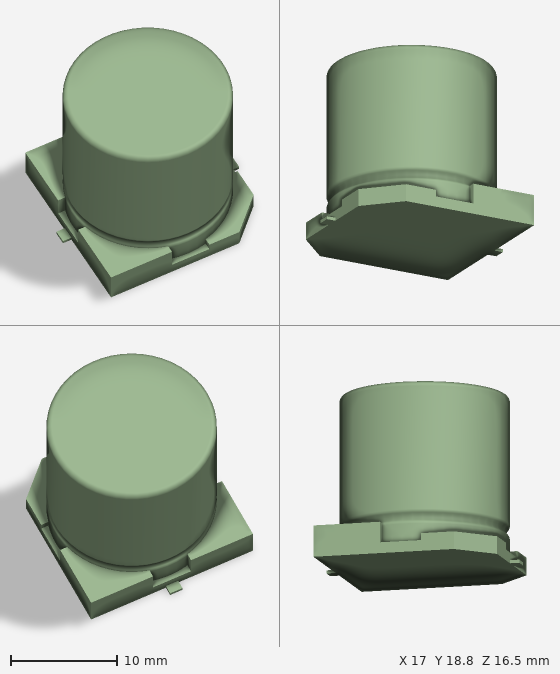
import cadquery as cq
import math


base_width = 17.0
base_wall_height = 3.0
base_low_height = 1.7
base_floor_height = 1.03
corner_chamfer = 3.3
notch_width = 3.99

can_radius = 8.0
can_top = 16.5
can_top_fillet = 0.49
groove_center_height = 3.5
groove_depth = 0.3
groove_radius = 0.5
groove_lip_radius = 0.4

strip_length = 18.8
strip_width = 1.3
strip_thickness = 0.3


def block(size_x, size_y, bottom, top):
    """Box centred on the Z axis between two heights."""
    return (
        cq.Workplane("XY")
        .workplane(offset=bottom)
        .rect(size_x, size_y)
        .extrude(top - bottom)
    )


def make_strip():
    return block(strip_width, strip_length, 0, strip_thickness)


def make_can():
    """Revolve the can, with its rounded top rim and the rolled groove near the bottom."""
    radius_sum = groove_radius + groove_lip_radius
    slope = math.acos(1 - groove_depth / radius_sum)
    half_height = radius_sum * math.sin(slope)
    blend_height = groove_radius * math.sin(slope)
    groove_bottom_radius = can_radius - groove_depth
    blend_radius = groove_bottom_radius + groove_radius * (1 - math.cos(slope))

    lip_mid_radius = can_radius - groove_lip_radius * (1 - math.cos(slope / 2))
    lip_mid_height = half_height - groove_lip_radius * math.sin(slope / 2)

    z = groove_center_height
    profile = (
        cq.Workplane("XZ")
        .moveTo(0, base_floor_height)
        .lineTo(can_radius, base_floor_height)
        .lineTo(can_radius, z - half_height)
        .threePointArc((lip_mid_radius, z - lip_mid_height), (blend_radius, z - blend_height))
        .threePointArc((groove_bottom_radius, z), (blend_radius, z + blend_height))
        .threePointArc((lip_mid_radius, z + lip_mid_height), (can_radius, z + half_height))
        .lineTo(can_radius, can_top)
        .lineTo(0, can_top)
        .close()
    )
    can = profile.revolve(360, (0, 0, 0), (0, 1, 0))
    return can.faces(">Z").edges().fillet(can_top_fillet)


def make_base(strip):
    """Square base with two cut corners, a lowered +Y side, a round can seat and four notches."""
    base = block(base_width, base_width, 0, base_wall_height)
    base = base.edges("|Z and >Y").chamfer(corner_chamfer)

    lowered_side = block(base_width, base_width, base_low_height, base_wall_height)
    base = base.cut(lowered_side.translate((0, base_width / 2, 0)))

    seat = (
        cq.Workplane("XY")
        .workplane(offset=base_floor_height)
        .circle(can_radius)
        .extrude(base_wall_height - base_floor_height)
    )
    base = base.cut(seat)

    for size_x, size_y in ((base_width, notch_width), (notch_width, base_width)):
        base = base.cut(block(size_x, size_y, base_floor_height, base_wall_height))

    return base.cut(strip)


terminal_strip = make_strip()
can = make_can()
base = make_base(terminal_strip)

result = cq.Compound.makeCompound([base.val(), can.val(), terminal_strip.val()])